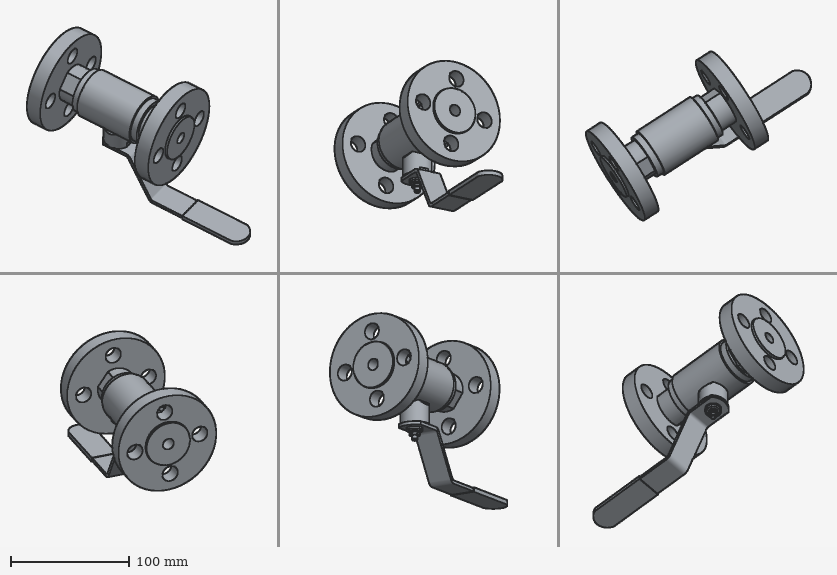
import cadquery as cq
import math

valve_length = 130.0
stem_x = valve_length / 2

flange_diameter = 90.0
flange_thickness = 14.0
raised_face_diameter = 40.0
raised_face_base_diameter = 40.5
raised_face_height = 2.0
bolt_circle_diameter = 59.9
bolt_hole_diameter = 14.0
bolt_count = 4
bolt_turn = 4.8

pipe_diameter = 33.7
bore_diameter = 10.0
barrel_diameter = 43.9
barrel_length = 54.3
shoulder_diameter = 40.0
shoulder_length = 66.6
flat_distance = 15.0
left_flat_angle = 135.0
right_flat_angle = 36.0

neck_diameter = 25.0
neck_bottom_z = -38.7
bevel_edge_z = -23.0
bevel_angle = 45.0
relief_height = 4.2
relief_x = 11.8

lever_thickness = 3.0
lever_width = 22.1
lever_end_radius = 15.4
lever_end_reach = 12.5
lever_drop = 40.7
lever_slope = 60.0
bend_x = 82.5
bend_inner_radius = 3.0
grip_start_x = 139.7
grip_end_x = 199.5
grip_margin = 0.54
grip_end_radius = 12.0

shank_diameter = 10.0
collar_diameter = 14.0
collar_height = 3.0
collar_chamfer = 1.2
spacer_diameter = 7.2
spacer_height = 1.2
nut_sides = 6
nut_across_flats = 8.0
nut_height = 2.4
nut_chamfer = 0.5
thread_diameter = 5.0
thread_length = 4.2
thread_tip_diameter = 3.8
thread_tip_height = 1.2

neck_radius = neck_diameter / 2
lever_top_z = neck_bottom_z
lever_bottom_z = lever_top_z - lever_thickness
grip_thickness = lever_thickness + 2 * grip_margin
grip_width = lever_width + 2 * grip_margin


def x_cylinder(diameter, start, end):
    """Solid cylinder on the pipe axis from X = start to X = end."""
    return cq.Workplane("YZ", origin=(start, 0, 0)).circle(diameter / 2).extrude(end - start)


def down_cylinder(diameter, top, height):
    """Solid cylinder on the stem axis reaching down from Z = top."""
    return cq.Workplane("XY", origin=(stem_x, 0, top)).circle(diameter / 2).extrude(-height)


def make_flange(start):
    """Bolted flange disc whose left face is at X = start."""
    holes = (
        cq.Workplane("YZ", origin=(start, 0, 0))
        .polarArray(bolt_circle_diameter / 2, 90 - bolt_turn, 360, bolt_count)
        .circle(bolt_hole_diameter / 2)
        .extrude(flange_thickness)
    )
    return x_cylinder(flange_diameter, start, start + flange_thickness).cut(holes)


def make_raised_face():
    """Left raised face, tapering slightly from the flange to the sealing face."""
    return (
        cq.Workplane("YZ")
        .circle(raised_face_diameter / 2)
        .workplane(offset=raised_face_height)
        .circle(raised_face_base_diameter / 2)
        .loft()
    )


def make_pipe_end(start, end, flat_angle):
    """Length of pipe with two opposite wrench flats."""
    flats = (
        cq.Workplane("YZ", origin=(start, 0, 0))
        .transformed(rotate=(0, 0, flat_angle))
        .rect(2 * flat_distance, pipe_diameter)
        .extrude(end - start)
    )
    return x_cylinder(pipe_diameter, start, end).intersect(flats)


def make_neck():
    """Stem neck, bevelled towards the barrel on both sides, with a relief flat at its foot."""
    neck = down_cylinder(neck_diameter, 0, -neck_bottom_z)
    bevel_peak_z = bevel_edge_z + neck_radius * math.tan(math.radians(bevel_angle))
    gable = (
        cq.Workplane("YZ", origin=(stem_x - neck_radius, 0, 0))
        .moveTo(-neck_radius, neck_bottom_z)
        .lineTo(neck_radius, neck_bottom_z)
        .lineTo(neck_radius, bevel_edge_z)
        .lineTo(0, bevel_peak_z)
        .lineTo(-neck_radius, bevel_edge_z)
        .close()
        .extrude(neck_diameter)
    )
    relief = cq.Workplane("XY", origin=(stem_x + relief_x, 0, neck_bottom_z)).box(
        neck_radius, neck_diameter, relief_height, centered=(False, True, False)
    )
    return neck.intersect(gable).cut(relief)


def make_housing():
    """Flanged ball-valve housing with its through bore."""
    left_flange_x = raised_face_height
    right_flange_x = valve_length - raised_face_height - flange_thickness
    right_face_x = right_flange_x + flange_thickness
    barrel = x_cylinder(barrel_diameter, stem_x - barrel_length / 2, stem_x + barrel_length / 2)
    shoulder_left = stem_x - shoulder_length / 2
    shoulder_right = stem_x + shoulder_length / 2
    return (
        barrel.union(x_cylinder(shoulder_diameter, shoulder_left, shoulder_right))
        .union(make_pipe_end(left_flange_x, shoulder_left, left_flat_angle))
        .union(make_pipe_end(shoulder_right, right_face_x, right_flat_angle))
        .union(make_flange(left_flange_x))
        .union(make_flange(right_flange_x))
        .union(make_raised_face())
        .union(make_raised_face().mirror("YZ", (stem_x, 0, 0)))
        .union(make_neck())
        .cut(x_cylinder(bore_diameter, 0, valve_length))
    )


def make_strip():
    """Cranked flat strip, bent twice, from its rounded end at the neck to the grip."""
    run = lever_drop / math.tan(math.radians(lever_slope))
    corner_shift = lever_thickness * math.tan(math.radians(lever_slope / 2))
    strip = (
        cq.Workplane("XZ", origin=(0, lever_width / 2, 0))
        .moveTo(stem_x - lever_end_reach, lever_top_z)
        .lineTo(bend_x + corner_shift, lever_top_z)
        .lineTo(bend_x + corner_shift + run, lever_top_z - lever_drop)
        .lineTo(grip_start_x, lever_top_z - lever_drop)
        .lineTo(grip_start_x, lever_bottom_z - lever_drop)
        .lineTo(bend_x + run, lever_bottom_z - lever_drop)
        .lineTo(bend_x, lever_bottom_z)
        .lineTo(stem_x - lever_end_reach, lever_bottom_z)
        .close()
        .extrude(lever_width)
    )
    bend_outer_radius = bend_inner_radius + lever_thickness
    bends = (
        (bend_x, lever_bottom_z, bend_inner_radius),
        (bend_x + corner_shift, lever_top_z, bend_outer_radius),
        (bend_x + run, lever_bottom_z - lever_drop, bend_outer_radius),
        (bend_x + corner_shift + run, lever_top_z - lever_drop, bend_inner_radius),
    )
    for x, z, radius in bends:
        strip = strip.edges(cq.selectors.NearestToPointSelector((x, 0, z))).fillet(radius)
    rounding = down_cylinder(2 * lever_end_radius, lever_top_z, lever_thickness).translate(
        (lever_end_radius - lever_end_reach, 0, 0)
    )
    beyond_end = cq.Workplane("XY", origin=(stem_x, 0, lever_bottom_z - lever_drop)).box(
        grip_start_x - stem_x, lever_width, lever_drop + lever_thickness, centered=(False, True, False)
    )
    return strip.intersect(rounding.union(beyond_end))


def make_grip():
    """Thicker, wider grip with an arched tip."""
    half_width = grip_width / 2
    arch_height = grip_end_radius - math.sqrt(grip_end_radius**2 - half_width**2)
    return (
        cq.Workplane("XY", origin=(0, 0, lever_bottom_z - lever_drop - grip_margin))
        .moveTo(grip_start_x, -half_width)
        .lineTo(grip_end_x - arch_height, -half_width)
        .threePointArc((grip_end_x, 0), (grip_end_x - arch_height, half_width))
        .lineTo(grip_start_x, half_width)
        .close()
        .extrude(grip_thickness)
    )


def make_lever():
    """Operating lever: cranked strip, grip and the hole for the stem shank."""
    shank_hole = down_cylinder(shank_diameter, lever_top_z, lever_thickness)
    return make_strip().union(make_grip()).cut(shank_hole)


def make_stem():
    """Stem through the lever, with collar, spacer, hexagon nut and threaded tip."""
    spacer_z = lever_bottom_z - collar_height
    nut_z = spacer_z - spacer_height
    thread_z = nut_z - nut_height
    shank = down_cylinder(shank_diameter, lever_top_z, lever_thickness)
    collar = down_cylinder(collar_diameter, lever_bottom_z, collar_height).faces("<Z").chamfer(collar_chamfer)
    spacer = down_cylinder(spacer_diameter, spacer_z, spacer_height)
    nut_corner_diameter = nut_across_flats / math.cos(math.pi / nut_sides)
    nut_round = down_cylinder(nut_corner_diameter, nut_z, nut_height).faces("<Z").chamfer(nut_chamfer)
    nut = (
        cq.Workplane("XY", origin=(stem_x, 0, nut_z))
        .polygon(nut_sides, nut_corner_diameter)
        .extrude(-nut_height)
        .intersect(nut_round)
    )
    thread = (
        down_cylinder(thread_diameter, thread_z, thread_length)
        .faces("<Z")
        .chamfer(thread_tip_height, (thread_diameter - thread_tip_diameter) / 2)
    )
    return shank.union(collar).union(spacer).union(nut).union(thread)


housing = make_housing()
lever = make_lever()
stem = make_stem()

result = cq.Compound.makeCompound([body.solids().val() for body in (housing, lever, stem)])